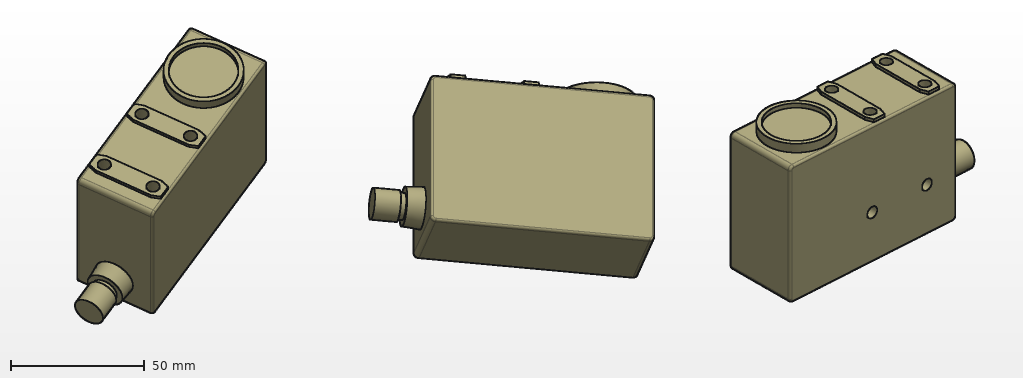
import cadquery as cq

overall_length = 104.6
overall_height = 64.9
body_width = 33.0
body_length = 85.6
lens_ring_height = 4.0
body_height = overall_height - lens_ring_height
end_edge_radius = 2.0
side_edge_radius = 0.99

ring_diameter = 30.0
lens_diameter = 26.0
lens_recess_depth = 2.0
ring_center_y = body_length - 18.9

hole_diameter = 5.0
hole_depth = 10.0
hole_pitch = 28.0
pad_front_y = 10.7
pad_length = body_width - 2 * side_edge_radius
pad_width = 8.0
pad_height = 1.4
pad_taper_length = 3.6
pad_taper_width = 1.3
pad_hole_spacing = 21.0

side_hole_front_y = 15.2
side_hole_z = 22.2

connector_z = 13.0
connector_length = overall_length - body_length
boot_base_radius = 8.1
boot_tip_radius = 7.5
boot_length = 7.0
neck_radius = 5.1
neck_length = 2.1
plug_radius = 6.1


def make_housing():
    box = cq.Workplane("XY").box(body_width, body_length, body_height, centered=(True, False, False))
    return box.edges("|X").fillet(end_edge_radius).faces("<X or >X").edges().fillet(side_edge_radius)


def make_lens_ring():
    ring = cq.Workplane("XY", origin=(0, ring_center_y, body_height)).circle(ring_diameter / 2)
    ring = ring.extrude(lens_ring_height)
    return ring.faces(">Z").workplane().circle(lens_diameter / 2).cutBlind(-lens_recess_depth)


def make_pad(center_y):
    """Bar across the top face, tapered towards both ends."""
    half_length = pad_length / 2
    half_width = pad_width / 2
    shoulder_x = half_length - pad_taper_length
    tip_y = half_width - pad_taper_width
    outline = [
        (-half_length, -tip_y),
        (-shoulder_x, -half_width),
        (shoulder_x, -half_width),
        (half_length, -tip_y),
        (half_length, tip_y),
        (shoulder_x, half_width),
        (-shoulder_x, half_width),
        (-half_length, tip_y),
    ]
    pad_plane = cq.Workplane("XY", origin=(0, center_y, body_height))
    return pad_plane.polyline(outline).close().extrude(pad_height)


def make_pad_holes(center_y):
    pad_top = cq.Workplane("XY", origin=(0, center_y, body_height + pad_height))
    centers = pad_top.rarray(pad_hole_spacing, 1, 2, 1)
    return centers.circle(hole_diameter / 2).extrude(-hole_depth)


def make_side_hole(center_y):
    side = cq.Workplane("YZ", origin=(-body_width / 2, center_y, side_hole_z))
    return side.circle(hole_diameter / 2).extrude(hole_depth)


def make_connector():
    """Revolved tapered boot, narrow neck and cylindrical plug."""
    neck_end_y = -boot_length - neck_length
    profile = [
        (0, 0),
        (boot_base_radius, 0),
        (boot_tip_radius, -boot_length),
        (neck_radius, -boot_length),
        (neck_radius, neck_end_y),
        (plug_radius, neck_end_y),
        (plug_radius, -connector_length),
        (0, -connector_length),
    ]
    axis_plane = cq.Workplane("XY", origin=(0, 0, connector_z))
    return axis_plane.polyline(profile).close().revolve(360, (0, 0), (0, 1))


result = make_housing().union(make_lens_ring()).union(make_connector())
for row in range(2):
    pad_y = pad_front_y + row * hole_pitch
    side_hole_y = side_hole_front_y + row * hole_pitch
    result = result.union(make_pad(pad_y)).cut(make_pad_holes(pad_y)).cut(make_side_hole(side_hole_y))